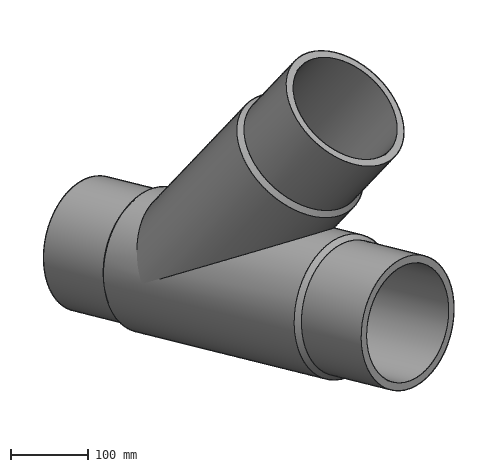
import cadquery as cq
import math

run_length = 557.0
body_diameter = 193.5
spigot_diameter = 180.0
bore_diameter = 159.0
spigot_length = 104.5
chamfer_length = 6.5
branch_angle = 45.0
branch_length = 380.0
junction_x = 179.0

body_radius = body_diameter / 2
spigot_radius = spigot_diameter / 2
bore_radius = bore_diameter / 2
body_length = run_length - 2 * spigot_length
branch_body_length = branch_length - spigot_length

run_direction = cq.Vector(1, 0, 0)
angle = math.radians(branch_angle)
branch_direction = cq.Vector(math.cos(angle), 0, math.sin(angle))
run_start = cq.Vector(0, 0, 0)
junction = cq.Vector(junction_x, 0, 0)


def cylinder(radius, length, start, direction):
    return cq.Workplane(cq.Solid.makeCylinder(radius, length, start, direction))


def chamfer_cone(shoulder, direction):
    """Taper that ends at a shoulder, narrowing in the given direction."""
    base = shoulder - direction * chamfer_length
    return cq.Workplane(
        cq.Solid.makeCone(body_radius, spigot_radius, chamfer_length, base, direction)
    )


left_shoulder = run_direction * spigot_length
right_shoulder = run_direction * (run_length - spigot_length)
run = (
    cylinder(spigot_radius, run_length, run_start, run_direction)
    .union(
        cylinder(
            body_radius,
            body_length - 2 * chamfer_length,
            left_shoulder + run_direction * chamfer_length,
            run_direction,
        )
    )
    .union(chamfer_cone(left_shoulder, run_direction * -1))
    .union(chamfer_cone(right_shoulder, run_direction))
)

branch_shoulder = junction + branch_direction * branch_body_length
branch = (
    cylinder(spigot_radius, branch_length, junction, branch_direction)
    .union(
        cylinder(body_radius, branch_body_length - chamfer_length, junction, branch_direction)
    )
    .union(chamfer_cone(branch_shoulder, branch_direction))
)

run_bore = cylinder(bore_radius, run_length, run_start, run_direction)
branch_bore = cylinder(bore_radius, branch_length, junction, branch_direction)

result = run.union(branch).cut(run_bore).cut(branch_bore)